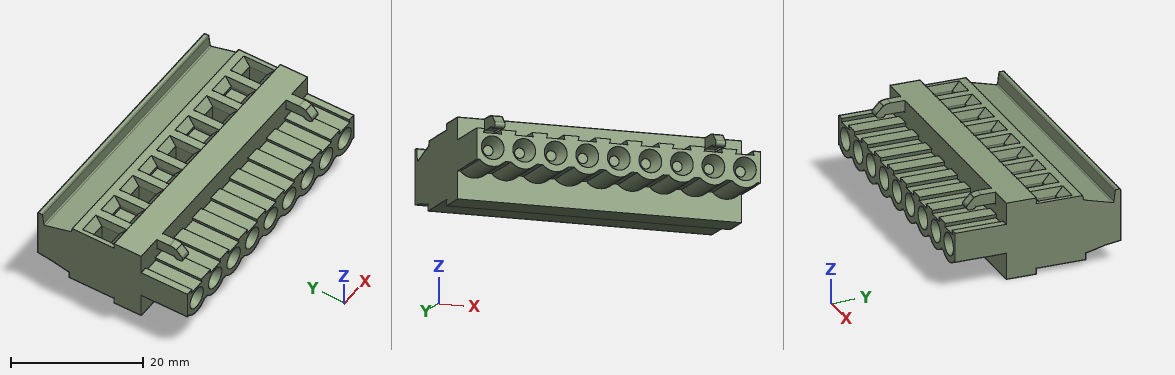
import cadquery as cq
import math

LENGTH = 45.7
DEPTH = 27.1
HEIGHT = 12.7
POLES = 9
PITCH = LENGTH / POLES

PLUG_LENGTH = 8.35
COLLAR_BACK_Y = 13.3
BODY_TOP_Z = 11.75
BODY_BOTTOM_Z = 0.95
BODY_BACK_TOP_Y = 20.85
BODY_BACK_FOOT_Y = 21.08
WALL_FRONT_TOP_Y = 26.25
WALL_FRONT_FOOT_Y = 25.95
LEDGE_HIGH_Z = 10.95
LEDGE_LOW_Z = 9.65
STEP_BACK_Y = 21.4
RAMP_LOW_Z = 2.05
RAMP_HIGH_Y = 24.7
RAMP_HIGH_Z = 2.85
TAIL_BOTTOM_Z = 3.15
WALL_ROUND = 0.2

PLUG_TOP_Z = 9.2
PLUG_BOTTOM_Z = 4.35
SOCKET_Z = 6.3
BARREL_RADIUS = 2.9
SOCKET_MOUTH_DIAMETER = 3.65
SOCKET_END_DIAMETER = 1.6
SOCKET_DEPTH = 2.0
GROOVE_TOP_WIDTH = 2.6
GROOVE_FLOOR_WIDTH = 2.93
GROOVE_DEPTH = 0.65

POCKET_WIDTH = 3.6
POCKET_FRONT_Y = 13.8
POCKET_BACK_Y = 19.45
POCKET_TAPER_DEPTH = 1.25
SHAFT_WIDTH = 2.85
SHAFT_FRONT_Y = 14.95
SHAFT_BACK_Y = 18.1
DEEP_POCKET_DEPTH = 5.5
SHALLOW_POCKET_DEPTH = 1.7

LATCH_WIDTH = 1.6
LATCH_UNDERSIDE_Z = 10.9
LATCH_CROWN_BACK_Y = 6.1
LATCH_CROWN_FRONT_Y = 4.85
LATCH_CROWN_FRONT_Z = 12.45
LATCH_NOSE_Y = 3.8
LATCH_NOSE_Z = 11.35
LATCH_TIP_Z = 10.5
LATCH_TIP_BACK_Y = 4.85
LATCH_TIP_FRONT_Y = 4.05
LATCH_NECK_Y = 5.2
LATCH_ROOT_ROUND = 0.2


def pole_x(pole):
    return (pole + 0.5) * PITCH


def make_housing():
    """Collar, body and rear wall as one profile along X."""
    profile = (
        cq.Workplane("YZ")
        .moveTo(PLUG_LENGTH, 0)
        .lineTo(PLUG_LENGTH, HEIGHT)
        .lineTo(COLLAR_BACK_Y, HEIGHT)
        .lineTo(COLLAR_BACK_Y, BODY_TOP_Z)
        .lineTo(BODY_BACK_TOP_Y, BODY_TOP_Z)
        .lineTo(BODY_BACK_FOOT_Y, LEDGE_HIGH_Z)
        .lineTo(WALL_FRONT_FOOT_Y, LEDGE_LOW_Z)
        .lineTo(WALL_FRONT_TOP_Y, BODY_TOP_Z)
        .lineTo(DEPTH, BODY_TOP_Z)
        .lineTo(DEPTH, TAIL_BOTTOM_Z)
        .lineTo(RAMP_HIGH_Y, RAMP_HIGH_Z)
        .lineTo(STEP_BACK_Y, RAMP_LOW_Z)
        .lineTo(STEP_BACK_Y, BODY_BOTTOM_Z)
        .lineTo(COLLAR_BACK_Y, BODY_BOTTOM_Z)
        .lineTo(COLLAR_BACK_Y, 0)
        .close()
    )
    return profile.extrude(LENGTH)


def round_wall(housing):
    """Round both top edges of the rear wall and the corner at its foot."""
    wall_edges = [
        (DEPTH, BODY_TOP_Z),
        (WALL_FRONT_TOP_Y, BODY_TOP_Z),
        (WALL_FRONT_FOOT_Y, LEDGE_LOW_Z),
    ]
    for y, z in wall_edges:
        nearest = cq.selectors.NearestToPointSelector((LENGTH / 2, y, z))
        housing = housing.edges("|X").edges(nearest).fillet(WALL_ROUND)
    return housing


def make_plug():
    """Bar whose underside bulges into a round barrel below each pole."""
    barrel_drop = SOCKET_Z - PLUG_BOTTOM_Z
    barrel_half_width = math.sqrt(BARREL_RADIUS**2 - barrel_drop**2)
    profile = cq.Workplane("XZ").moveTo(0, PLUG_TOP_Z).lineTo(0, PLUG_BOTTOM_Z)
    for pole in range(POLES):
        x = pole_x(pole)
        profile = profile.lineTo(x - barrel_half_width, PLUG_BOTTOM_Z).threePointArc(
            (x, SOCKET_Z - BARREL_RADIUS),
            (x + barrel_half_width, PLUG_BOTTOM_Z),
        )
    profile = profile.lineTo(LENGTH, PLUG_BOTTOM_Z).lineTo(LENGTH, PLUG_TOP_Z).close()
    return profile.extrude(-PLUG_LENGTH)


def make_socket(x):
    """Conical contact opening in the plug face."""
    return (
        cq.Workplane("XZ", origin=(x, 0, SOCKET_Z))
        .circle(SOCKET_MOUTH_DIAMETER / 2)
        .workplane(offset=-SOCKET_DEPTH)
        .circle(SOCKET_END_DIAMETER / 2)
        .loft()
    )


def make_groove(x):
    """Dovetail keying groove along the top of the plug."""
    floor_z = PLUG_TOP_Z - GROOVE_DEPTH
    return (
        cq.Workplane("XZ")
        .polyline([
            (x - GROOVE_TOP_WIDTH / 2, PLUG_TOP_Z),
            (x + GROOVE_TOP_WIDTH / 2, PLUG_TOP_Z),
            (x + GROOVE_FLOOR_WIDTH / 2, floor_z),
            (x - GROOVE_FLOOR_WIDTH / 2, floor_z),
        ])
        .close()
        .extrude(-PLUG_LENGTH)
    )


def make_pocket(x, depth):
    """Tapered rectangular funnel leading into a straight shaft."""
    mouth_y = (POCKET_FRONT_Y + POCKET_BACK_Y) / 2
    shaft_y = (SHAFT_FRONT_Y + SHAFT_BACK_Y) / 2
    shaft_length = SHAFT_BACK_Y - SHAFT_FRONT_Y
    funnel = (
        cq.Workplane("XY", origin=(x, mouth_y, BODY_TOP_Z))
        .rect(POCKET_WIDTH, POCKET_BACK_Y - POCKET_FRONT_Y)
        .workplane(offset=-POCKET_TAPER_DEPTH)
        .center(0, shaft_y - mouth_y)
        .rect(SHAFT_WIDTH, shaft_length)
        .loft(ruled=True)
    )
    shaft = (
        cq.Workplane("XY", origin=(x, shaft_y, BODY_TOP_Z - POCKET_TAPER_DEPTH))
        .rect(SHAFT_WIDTH, shaft_length)
        .extrude(POCKET_TAPER_DEPTH - depth)
    )
    return funnel.union(shaft)


def make_latch(x):
    """Hook flush with the collar top, with a crowned shoulder and a rounded nose."""
    root_z = LATCH_UNDERSIDE_Z - LATCH_ROOT_ROUND
    return (
        cq.Workplane("YZ", origin=(x - LATCH_WIDTH / 2, 0, 0))
        .moveTo(COLLAR_BACK_Y, HEIGHT)
        .lineTo(LATCH_CROWN_BACK_Y, HEIGHT)
        .tangentArcPoint((LATCH_CROWN_FRONT_Y, LATCH_CROWN_FRONT_Z), relative=False)
        .lineTo(LATCH_NOSE_Y, LATCH_NOSE_Z)
        .tangentArcPoint((LATCH_TIP_FRONT_Y, LATCH_TIP_Z), relative=False)
        .lineTo(LATCH_TIP_BACK_Y, LATCH_TIP_Z)
        .lineTo(LATCH_NECK_Y, LATCH_UNDERSIDE_Z)
        .lineTo(PLUG_LENGTH - LATCH_ROOT_ROUND, LATCH_UNDERSIDE_Z)
        .tangentArcPoint((PLUG_LENGTH, root_z), relative=False)
        .lineTo(COLLAR_BACK_Y, root_z)
        .close()
        .extrude(LATCH_WIDTH)
    )


result = round_wall(make_housing()).union(make_plug())

for pole in range(POLES):
    pocket_depth = DEEP_POCKET_DEPTH if pole % 2 == 0 else SHALLOW_POCKET_DEPTH
    result = result.cut(make_pocket(pole_x(pole), pocket_depth))
    result = result.cut(make_socket(pole_x(pole)))
    result = result.cut(make_groove(pole_x(pole)))

for latch_x in (PITCH, LENGTH - PITCH):
    result = result.union(make_latch(latch_x))